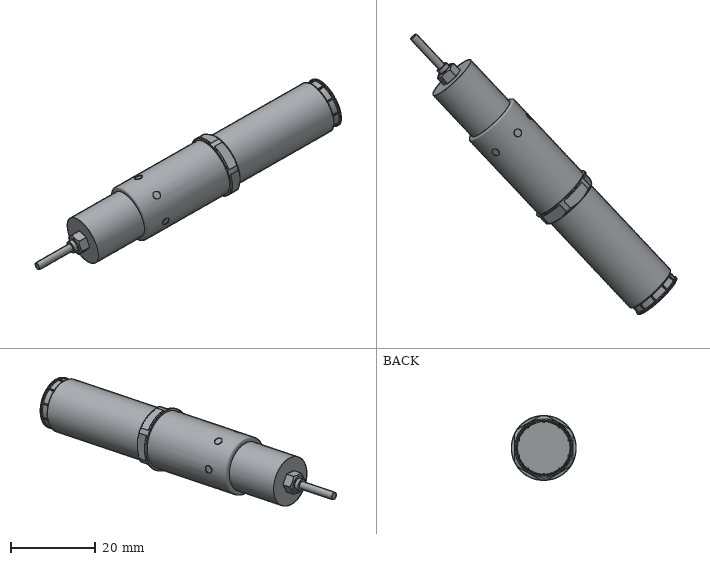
import cadquery as cq
import math

CUT_MARGIN = 0.9

PIN_SHOULDER_Y = 0.7
FERRULE_Y = 10.0
NUT_Y = 11.0
NOSE_Y = 13.6
SLEEVE_Y = 27.4
COLLAR_Y = 52.1
COLLAR_END_Y = 55.4
BARREL_END_Y = 84.0
LENGTH = 86.2

PIN_RADIUS = 0.95
PIN_TIP_RADIUS = 0.9
FERRULE_RADIUS = 1.5
NOSE_RADIUS = 6.1
SLEEVE_RADIUS = 7.2
COLLAR_RADIUS = 7.715
COLLAR_END_RADIUS = 6.9
BARREL_RADIUS = 6.59
SLEEVE_ROUND = 0.5
BARREL_CHAMFER = 0.3
COLLAR_CHAMFER_LENGTH = 0.6

HEXAGON_SIDES = 6

NUT_ACROSS_FLATS = 4.65
NUT_CHAMFER_LENGTH = 0.4
NUT_CHAMFER_DEPTH = 0.7

COLLAR_FLANGE = 0.4
COLLAR_ACROSS_FLATS = 14.0
COLLAR_HEXAGON_TURN = 30

RECESS_COUNT = 6
RECESS_DIAMETER = 1.9
RECESS_DEPTH = 0.2
RECESS_Y = 33.0

RIM_RADIUS = 6.3
RIM_THICKNESS = 0.35
GROOVE_STEP = 0.2
GROOVE_LIP_LENGTH = 0.3
GROOVE_ROOT_RADIUS = 5.8
RIB_COUNT = 10
RIB_WIDTH = 0.35
RIB_RADIUS = 6.1


def cylinder(radius, start, end):
    """Solid cylinder on the Y axis."""
    return cq.Workplane("XZ", origin=(0, start, 0)).circle(radius).extrude(start - end)


def revolve_about_y(profile):
    """Full revolution of a closed (radius, y) profile."""
    outline = cq.Workplane("XY").polyline(profile).close()
    return outline.revolve(360, (0, 0, 0), (0, 1, 0))


def turned_about_y(shape, angle):
    """Copy of a shape turned about the Y axis by an angle in degrees."""
    return shape.rotate((0, 0, 0), (0, 1, 0), angle)


def hexagon_corner_radius(across_flats):
    """Distance from the centre of a regular hexagon to its corners."""
    return across_flats / 2 / math.cos(math.pi / HEXAGON_SIDES)


def hexagon(across_flats, start, end, turn=0):
    """Hexagonal prism on the Y axis; with no turn two corners point along X."""
    across_corners = 2 * hexagon_corner_radius(across_flats)
    outline = cq.Workplane("XZ", origin=(0, start, 0)).polygon(HEXAGON_SIDES, across_corners)
    return turned_about_y(outline.extrude(start - end), turn)


def turned_body():
    """Revolve the profile of the pin, ferrule, nose, collar, barrel and cap."""
    rim_start = LENGTH - RIM_THICKNESS
    groove_lip_radius = RIM_RADIUS - GROOVE_STEP
    profile = [
        (0, 0),
        (PIN_TIP_RADIUS, 0),
        (PIN_RADIUS, PIN_SHOULDER_Y),
        (PIN_RADIUS, FERRULE_Y),
        (FERRULE_RADIUS, FERRULE_Y),
        (FERRULE_RADIUS, NOSE_Y),
        (NOSE_RADIUS, NOSE_Y),
        (NOSE_RADIUS, COLLAR_Y),
        (COLLAR_RADIUS, COLLAR_Y),
        (COLLAR_RADIUS, COLLAR_END_Y - COLLAR_CHAMFER_LENGTH),
        (COLLAR_END_RADIUS, COLLAR_END_Y),
        (BARREL_RADIUS, COLLAR_END_Y),
        (BARREL_RADIUS, BARREL_END_Y - BARREL_CHAMFER),
        (BARREL_RADIUS - BARREL_CHAMFER, BARREL_END_Y),
        (GROOVE_ROOT_RADIUS, BARREL_END_Y),
        (groove_lip_radius, rim_start - GROOVE_LIP_LENGTH),
        (RIM_RADIUS, rim_start),
        (RIM_RADIUS, LENGTH),
        (0, LENGTH),
    ]
    return revolve_about_y(profile)


def sleeve():
    """Sleeve over the nose, with its front edge rounded."""
    return cylinder(SLEEVE_RADIUS, SLEEVE_Y, COLLAR_Y).faces("<Y").edges().fillet(SLEEVE_ROUND)


def collar_flat_cutter():
    """Ring left outside the wrench hexagon, two flats facing along X."""
    start = COLLAR_Y + COLLAR_FLANGE
    ring = cylinder(COLLAR_RADIUS + CUT_MARGIN, start, COLLAR_END_Y)
    return ring.cut(hexagon(COLLAR_ACROSS_FLATS, start, COLLAR_END_Y, COLLAR_HEXAGON_TURN))


def nut():
    """Hexagonal nut with its outer corners chamfered."""
    corner_radius = hexagon_corner_radius(NUT_ACROSS_FLATS)
    envelope_profile = [
        (0, NUT_Y),
        (corner_radius - NUT_CHAMFER_DEPTH, NUT_Y),
        (corner_radius, NUT_Y + NUT_CHAMFER_LENGTH),
        (corner_radius, NOSE_Y),
        (0, NOSE_Y),
    ]
    envelope = revolve_about_y(envelope_profile)
    return hexagon(NUT_ACROSS_FLATS, NUT_Y, NOSE_Y).intersect(envelope)


def recess(angle):
    """Cutter for one round recess in the sleeve."""
    floor = SLEEVE_RADIUS - RECESS_DEPTH
    tool = cq.Workplane("YZ", origin=(floor, RECESS_Y, 0)).circle(RECESS_DIAMETER / 2).extrude(CUT_MARGIN)
    return turned_about_y(tool, angle)


def cap_rib_bars():
    """Radial bars that mark the ribs, reaching past the rim of the cap."""
    length = LENGTH - BARREL_END_Y
    bar = cq.Workplane("XY", origin=(0, BARREL_END_Y + length / 2, 0))
    bar = bar.box(RIB_WIDTH, length, 2 * (RIM_RADIUS + CUT_MARGIN))
    bars = bar
    for index in range(1, RIB_COUNT // 2):
        bars = bars.union(turned_about_y(bar, index * 360 / RIB_COUNT))
    return bars


def add_cap_ribs(body):
    """Bridge the groove with ribs and slot the rim down to the top of each rib."""
    bars = cap_rib_bars()
    rib_envelope = cylinder(RIB_RADIUS, BARREL_END_Y, LENGTH)
    return body.cut(bars.cut(rib_envelope)).union(bars.intersect(rib_envelope))


result = turned_body().cut(collar_flat_cutter()).union(sleeve()).union(nut())
result = add_cap_ribs(result)
for index in range(RECESS_COUNT):
    result = result.cut(recess(index * 360 / RECESS_COUNT))